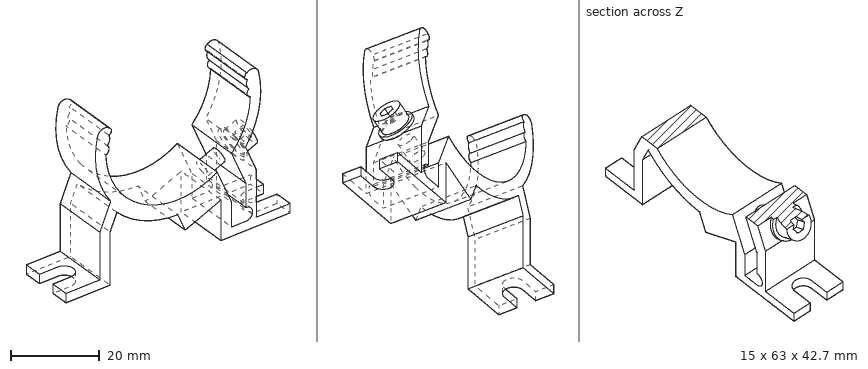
import cadquery as cq
import math

width = 15.0
half_length = 31.5
foot_thickness = 2.5

ring_center_z = 35.85
bore_radius = 20.3
arm_outer_radius = 23.25
saddle_outer_radius = 24.25

leg_outer_y = 22.0
leg_inner_y = 19.1
leg_outer_bend_z = 15.25
fixed_leg_inner_bend_z = 14.25
clamp_leg_inner_bend_z = 12.6
post_outer_y = 15.05
post_inner_y = 12.05
post_bend_z = 9.15
block_start_z = 10.9
block_length = 10.9
tilt = math.radians(23)
relief_radius = 1.8

tip_start_z = 41.15
bead_end_z = 35.3
tip_arcs = [
    ((20.7, 42.65), (19.35, 42.1)),
    ((18.7, 41.3), (19.45, 40.25)),
    ((19.2, 39.0), (19.9, 37.6)),
]
last_bead_middle = (19.4, 36.3)

slot_width = 5.05
slot_depth = 7.6

head_center_y = 24.95
head_center_z = 20.55
head_diameter = 7.05
head_length = 4.0
washer_diameter = 8.8
washer_thickness = 0.95
shank_diameter = 4.05
shank_length = 15.1
socket_corner_diameter = 3.4
socket_depth = 2.5


def ring_point_at_height(radius, z):
    """Point of a ring circle on the +Y side at height z."""
    return (math.sqrt(radius**2 - (z - ring_center_z) ** 2), z)


def ring_middle(radius, start, end):
    """Point of a ring circle halfway in angle between two of its points."""
    y = start[0] + end[0]
    z = start[1] + end[1] - 2 * ring_center_z
    scale = radius / math.hypot(y, z)
    return (y * scale, ring_center_z + z * scale)


def lean_to_ring(start, radius):
    """Point where a line rising from start, leaning towards -Y by the tilt, first meets a ring circle."""
    dy, dz = -math.sin(tilt), math.cos(tilt)
    y, z = start[0], start[1] - ring_center_z
    along = y * dy + z * dz
    travel = -along - math.sqrt(along**2 - (y**2 + z**2 - radius**2))
    return (y + travel * dy, start[1] + travel * dz)


def mirrored(point):
    return (-point[0], point[1])


def ring_arc(sketch, radius, start, end):
    return sketch.threePointArc(ring_middle(radius, start, end), end)


leg_outer_bend = (leg_outer_y, leg_outer_bend_z)
neck = lean_to_ring(leg_outer_bend, arm_outer_radius)
tip_start = ring_point_at_height(arm_outer_radius, tip_start_z)
bead_end = ring_point_at_height(bore_radius, bead_end_z)
grip_arcs = tip_arcs + [(last_bead_middle, bead_end)]


def make_bracket():
    clamp_bend = (leg_inner_y, clamp_leg_inner_bend_z)
    clamp_edge = lean_to_ring(clamp_bend, bore_radius)
    post_bend = (post_outer_y, post_bend_z)
    saddle_edge = lean_to_ring(post_bend, bore_radius)
    fixed_bend = (leg_inner_y, fixed_leg_inner_bend_z)
    fixed_join = mirrored(lean_to_ring(fixed_bend, saddle_outer_radius))
    block_start = (post_inner_y, block_start_z)
    block_corner = (
        post_inner_y - block_length * math.cos(tilt),
        block_start_z - block_length * math.sin(tilt),
    )
    block_join = lean_to_ring(block_corner, saddle_outer_radius)

    sketch = (
        cq.Workplane("YZ")
        .moveTo(half_length, 0)
        .lineTo(half_length, foot_thickness)
        .lineTo(leg_outer_y, foot_thickness)
        .lineTo(*leg_outer_bend)
        .lineTo(*neck)
    )
    sketch = ring_arc(sketch, arm_outer_radius, neck, tip_start)
    for middle, end in grip_arcs:
        sketch = sketch.threePointArc(middle, end)
    sketch = ring_arc(sketch, bore_radius, bead_end, clamp_edge)
    sketch = sketch.lineTo(*clamp_bend)

    relief_z = foot_thickness + relief_radius
    sketch = (
        sketch.lineTo(leg_inner_y, relief_z + relief_radius)
        .threePointArc((leg_inner_y + relief_radius, relief_z), (leg_inner_y, foot_thickness))
        .lineTo(post_outer_y, foot_thickness)
        .lineTo(*post_bend)
        .lineTo(*saddle_edge)
    )

    sketch = ring_arc(sketch, bore_radius, saddle_edge, mirrored(bead_end))
    arc_starts = [tip_start] + [end for _, end in tip_arcs]
    for (middle, _), start in reversed(list(zip(grip_arcs, arc_starts))):
        sketch = sketch.threePointArc(mirrored(middle), mirrored(start))
    sketch = ring_arc(sketch, arm_outer_radius, mirrored(tip_start), mirrored(neck))

    sketch = (
        sketch.lineTo(*mirrored(leg_outer_bend))
        .lineTo(-leg_outer_y, foot_thickness)
        .lineTo(-half_length, foot_thickness)
        .lineTo(-half_length, 0)
        .lineTo(-leg_inner_y, 0)
        .lineTo(*mirrored(fixed_bend))
        .lineTo(*fixed_join)
    )

    sketch = ring_arc(sketch, saddle_outer_radius, fixed_join, block_join)
    sketch = (
        sketch.lineTo(*block_corner)
        .lineTo(*block_start)
        .lineTo(post_inner_y, 0)
        .close()
    )
    return sketch.extrude(width / 2, both=True)


def make_slot(side):
    """Open-ended slot with a round inner end, cut into the foot on the given Y side."""
    radius = slot_width / 2
    round_y = half_length - slot_depth + radius
    straight_length = half_length - round_y
    straight = (
        cq.Workplane("XY")
        .center(0, side * (round_y + straight_length / 2))
        .rect(slot_width, straight_length)
        .extrude(foot_thickness)
    )
    round_end = cq.Workplane("XY").center(0, side * round_y).circle(radius).extrude(foot_thickness)
    return straight.union(round_end)


def make_screw():
    """Socket-head screw with washer, pointing from the top of its head into the block."""
    plane = cq.Plane(
        origin=(0, head_center_y, head_center_z),
        xDir=(1, 0, 0),
        normal=(0, -math.cos(tilt), -math.sin(tilt)),
    )
    start = cq.Workplane(plane)
    washer = (
        start.workplane(offset=head_length)
        .circle(washer_diameter / 2)
        .extrude(washer_thickness)
    )
    shank = start.circle(shank_diameter / 2).extrude(shank_length)
    socket = start.polygon(6, socket_corner_diameter).extrude(socket_depth)
    head = start.circle(head_diameter / 2).extrude(head_length)
    return head.union(shank).union(washer).cut(socket)


bracket = make_bracket()
for side in (-1, 1):
    bracket = bracket.cut(make_slot(side))

result = bracket.union(make_screw())